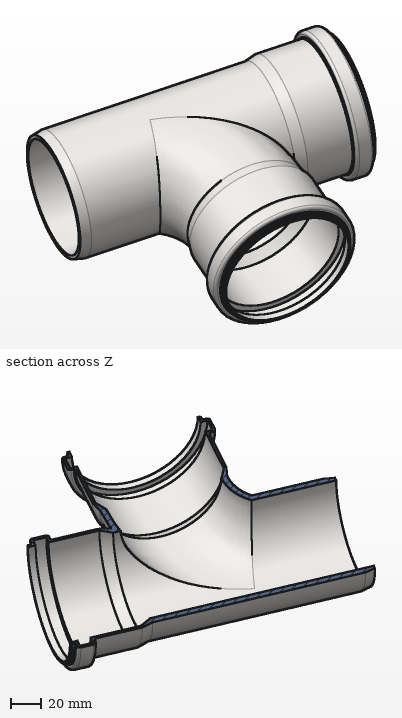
import cadquery as cq
import math

pipe_radius = 90.0 / 2
bore_radius = 81.2 / 2
total_length = 213.0
spigot_taper_length = 7.2
spigot_tip_radius = pipe_radius - 1.7

shoulder_length = 8.0
sleeve_radius = 94.8 / 2
sleeve_bore_radius = 90.5 / 2
ring_radius = 104.5 / 2
ring_groove_radius = 100.3 / 2
ring_start = 41.3
ring_end = 54.5
ring_edge = 2.1
lip_radius = 95.0 / 2
lip_bore_radius = 90.7 / 2
lip_edge = 0.9
neck_flare = 0.9
socket_length = 57.7
groove_wall = 2.1

branch_tilt = 2.5
bend_radius = 74.5
bend_end_x = 64.1
bend_end_y = 112.5


def revolve_about_y(profile):
    """Turn a closed (radius, distance along Y) profile about the Y axis."""
    return cq.Workplane("XY").polyline(profile).close().revolve(360, (0, 0, 0), (0, 1, 0))


def socket_outside():
    body = revolve_about_y([
        (0, 0),
        (pipe_radius, 0),
        (sleeve_radius, shoulder_length),
        (sleeve_radius, ring_start - neck_flare),
        (sleeve_radius + neck_flare, ring_start),
        (sleeve_radius + neck_flare, ring_end),
        (lip_radius + neck_flare, ring_end),
        (lip_radius, ring_end + neck_flare),
        (lip_radius, socket_length - lip_edge),
        (lip_radius - lip_edge, socket_length),
        (0, socket_length),
    ])
    ring = revolve_about_y([
        (0, ring_start),
        (ring_radius, ring_start),
        (ring_radius, ring_end),
        (0, ring_end),
    ])
    return body.union(ring.edges().fillet(ring_edge))


def socket_inside():
    return revolve_about_y([
        (0, 0),
        (bore_radius, 0),
        (sleeve_bore_radius, shoulder_length),
        (sleeve_bore_radius, ring_start + groove_wall),
        (ring_groove_radius, ring_start + groove_wall),
        (ring_groove_radius, ring_end - groove_wall),
        (lip_bore_radius, ring_end - groove_wall),
        (lip_bore_radius, socket_length),
        (0, socket_length),
    ])


def on_run(socket):
    return socket.translate((0, total_length - socket_length, 0))


def on_branch(socket):
    turned = socket.rotate((0, 0, 0), (0, 0, 1), branch_tilt - 90)
    return turned.translate((bend_end_x, bend_end_y, 0))


def bend(radius):
    """Round bar bent from the run axis (X = 0) to the branch socket."""
    tilt = math.radians(branch_tilt)
    center_x = bend_end_x + bend_radius * math.sin(tilt)
    center_y = bend_end_y - bend_radius * math.cos(tilt)
    sweep_start = math.asin(center_x / bend_radius)
    start_y = center_y + bend_radius * math.cos(sweep_start)
    section = cq.Plane(
        origin=(0, start_y, 0),
        xDir=(math.sin(sweep_start), -math.cos(sweep_start), 0),
        normal=(math.cos(sweep_start), math.sin(sweep_start), 0),
    )
    sweep_angle = math.degrees(sweep_start) - branch_tilt
    return cq.Workplane(section).circle(radius).revolve(
        sweep_angle, (bend_radius, 0, 0), (bend_radius, 1, 0)
    )


run_length = total_length - socket_length
run_outside = revolve_about_y([
    (0, 0),
    (spigot_tip_radius, 0),
    (pipe_radius, spigot_taper_length),
    (pipe_radius, run_length),
    (0, run_length),
])
run_inside = revolve_about_y([
    (0, 0),
    (bore_radius, 0),
    (bore_radius, run_length),
    (0, run_length),
])

outside = (
    run_outside
    .union(on_run(socket_outside()))
    .union(bend(pipe_radius))
    .union(on_branch(socket_outside()))
)
inside = (
    run_inside
    .union(on_run(socket_inside()))
    .union(bend(bore_radius))
    .union(on_branch(socket_inside()))
)

result = outside.cut(inside)